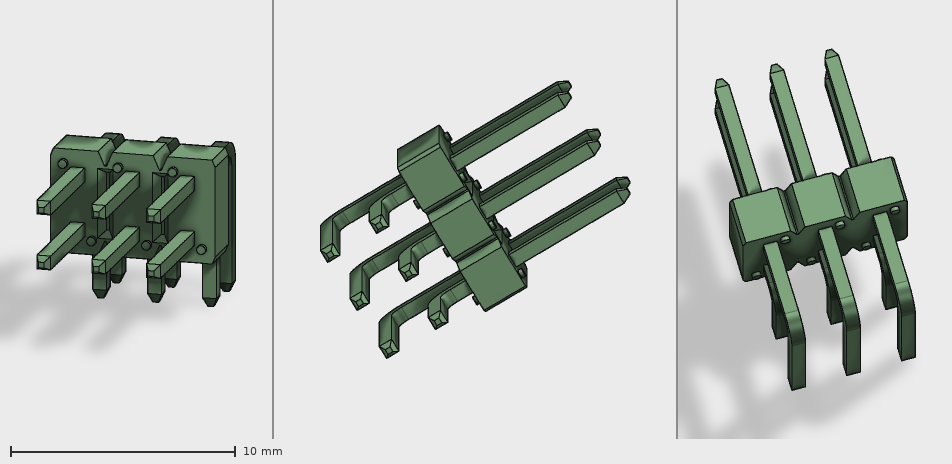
import cadquery as cq
import math

columns = 3
pitch = 2.54

body_length = columns * pitch
body_depth = 2.16
body_height = 4.81

notch_width = 0.66
notch_depth = 0.66
notch_floor_width = 0.08
chamfer_width = 0.14
chamfer_height = 0.33

pocket_width = 0.71
pocket_height = 3.23
pocket_wall_run = 0.28
pocket_depth = 0.43
pocket_floor_width = pocket_width - 2 * pocket_wall_run
pocket_floor_height = pocket_height - 2 * pocket_wall_run

peg_diameter = 0.41
peg_length = 0.19
peg_offset_x = 0.66
peg_offset_z = 0.47

pin_width = 0.64
pin_tip_width = 0.25
pin_tip_length = 0.43
bend_outer_radius = 1.15
mating_length = 6.04
tail_length = 3.08
total_depth = 12.76

half_pin = pin_width / 2
front_end = -mating_length
lower_end = -body_height / 2 - tail_length
upper_row_z = pitch / 2
lower_row_z = -pitch / 2
upper_tail_y = total_depth - mating_length - half_pin
lower_tail_y = upper_tail_y - pitch

column_xs = [(i - (columns - 1) / 2) * pitch for i in range(columns)]
gap_xs = [x + pitch / 2 for x in column_xs[:-1]]


def make_block():
    block = cq.Workplane("XY").box(body_length, body_depth, body_height)
    return block.translate((0, body_depth / 2, 0))


def extrude_through_body(points):
    """Extrude an XZ outline along the full body depth."""
    return cq.Workplane("XZ").polyline(points).close().extrude(-body_depth)


def make_notch(x, side):
    """V notch with a narrow flat floor; side is +1 for the top, -1 for the bottom."""
    outer_z = side * body_height / 2
    floor_z = outer_z - side * notch_depth
    return extrude_through_body([
        (x - notch_width / 2, outer_z),
        (x - notch_floor_width / 2, floor_z),
        (x + notch_floor_width / 2, floor_z),
        (x + notch_width / 2, outer_z),
    ])


def make_corner(side_x, side_z):
    """Wedge removed from one long corner of the body."""
    corner_x = side_x * body_length / 2
    corner_z = side_z * body_height / 2
    return extrude_through_body([
        (corner_x, corner_z),
        (corner_x - side_x * chamfer_width, corner_z),
        (corner_x, corner_z - side_z * chamfer_height),
    ])


def make_pocket(x):
    """Pocket whose four walls slope in to a narrow floor."""
    return (
        cq.Workplane("XZ", origin=(x, 0, 0))
        .rect(pocket_width, pocket_height)
        .workplane(offset=-pocket_depth)
        .rect(pocket_floor_width, pocket_floor_height)
        .loft(ruled=True)
    )


def make_peg(x, z):
    """Peg running through the body and standing proud of both faces."""
    return (
        cq.Workplane("XZ", origin=(x, -peg_length, z))
        .circle(peg_diameter / 2)
        .extrude(-(body_depth + 2 * peg_length))
    )


def make_tip(shoulder):
    """Square taper growing along the normal of the shoulder plane."""
    return (
        shoulder.rect(pin_width, pin_width)
        .workplane(offset=pin_tip_length)
        .rect(pin_tip_width, pin_tip_width)
        .loft(ruled=True)
    )


def make_pin(x, row_z, tail_y):
    """Square wire bent downward, with a tapered tip at each end."""
    top = row_z + half_pin
    bottom = row_z - half_pin
    outer = tail_y + half_pin
    inner = tail_y - half_pin
    bend_y = outer - bend_outer_radius
    bend_z = top - bend_outer_radius
    bend_inner_radius = bend_outer_radius - pin_width
    diagonal = math.sqrt(0.5)
    outer_mid = (bend_y + bend_outer_radius * diagonal, bend_z + bend_outer_radius * diagonal)
    inner_mid = (bend_y + bend_inner_radius * diagonal, bend_z + bend_inner_radius * diagonal)
    shoulder_y = front_end + pin_tip_length
    shoulder_z = lower_end + pin_tip_length

    wire = (
        cq.Workplane("YZ", origin=(x - half_pin, 0, 0))
        .moveTo(shoulder_y, top)
        .lineTo(bend_y, top)
        .threePointArc(outer_mid, (outer, bend_z))
        .lineTo(outer, shoulder_z)
        .lineTo(inner, shoulder_z)
        .lineTo(inner, bend_z)
        .threePointArc(inner_mid, (bend_y, bottom))
        .lineTo(shoulder_y, bottom)
        .close()
        .extrude(pin_width)
    )
    mating_tip = make_tip(cq.Workplane("XZ", origin=(x, shoulder_y, row_z)))
    tail_shoulder = cq.Workplane("XY", origin=(x, tail_y, shoulder_z)).transformed(rotate=(180, 0, 0))
    tail_tip = make_tip(tail_shoulder)
    return wire.union(mating_tip).union(tail_tip)


result = make_block()

for side_z in (1, -1):
    for side_x in (1, -1):
        result = result.cut(make_corner(side_x, side_z))
    for gap_x in gap_xs:
        result = result.cut(make_notch(gap_x, side_z))

for gap_x in gap_xs:
    result = result.cut(make_pocket(gap_x))

for column_x in column_xs:
    result = result.union(make_peg(column_x - peg_offset_x, upper_row_z + peg_offset_z))
    result = result.union(make_peg(column_x + peg_offset_x, lower_row_z - peg_offset_z))
    result = result.union(make_pin(column_x, upper_row_z, upper_tail_y))
    result = result.union(make_pin(column_x, lower_row_z, lower_tail_y))